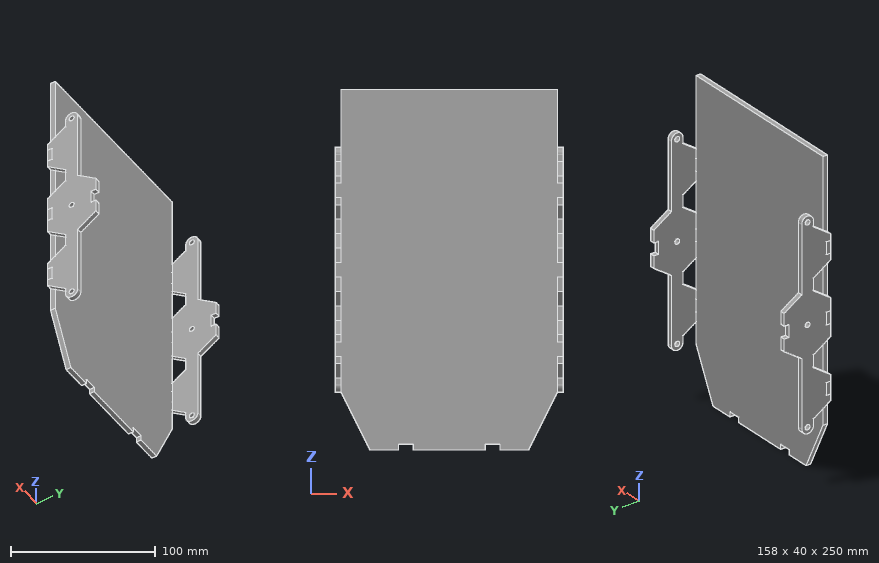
import cadquery as cq

sheet = 4.0

panel_width = 150.0
panel_height = 250.0
corner_cut_width = 20.0
corner_cut_height = 40.0
foot_notch_width = 10.0
foot_notch_offset = 30.0

tab_length = 10.0
tab_pitch = 55.0
tab_heights = [-tab_pitch, 0.0, tab_pitch]

bracket_depth = 40.0
arm_width = 10.0
arm_hole_height = 80.0
pin_hole_diameter = 4.0
foot_half_length = 10.0
hub_half_length = 15.0
shoulder_rise = 10.0
rear_notch_length = 10.0

half_depth = bracket_depth / 2
half_arm = arm_width / 2
half_panel_width = panel_width / 2
half_panel_height = panel_height / 2
panel_front = -half_depth
panel_middle_y = panel_front + sheet / 2
hub_shoulder = hub_half_length + shoulder_rise
foot_bottom = tab_pitch - foot_half_length
foot_top = tab_pitch + foot_half_length


def make_panel():
    """Panel with cut lower corners, two foot notches and three tabs on each side."""
    foot_half_width = half_panel_width - corner_cut_width
    corner_z = -half_panel_height + corner_cut_height
    panel = (
        cq.Workplane("XZ", origin=(0, panel_front, 0))
        .moveTo(-half_panel_width, half_panel_height)
        .lineTo(half_panel_width, half_panel_height)
        .lineTo(half_panel_width, corner_z)
        .lineTo(foot_half_width, -half_panel_height)
        .lineTo(-foot_half_width, -half_panel_height)
        .lineTo(-half_panel_width, corner_z)
        .close()
        .extrude(-sheet)
    )
    for z in tab_heights:
        tab_bar = cq.Workplane("XY").box(panel_width + 2 * sheet, sheet, tab_length)
        panel = panel.union(tab_bar.translate((0, panel_middle_y, z)))
    for x in (-foot_notch_offset, foot_notch_offset):
        notch = cq.Workplane("XY").box(foot_notch_width, sheet, sheet)
        panel = panel.cut(notch.translate((x, panel_middle_y, -half_panel_height + sheet / 2)))
    return panel.solids()


def make_bracket(start_x):
    """Side bracket spanning one sheet thickness in +X from start_x."""
    front_upper = [
        (-half_arm, foot_top + shoulder_rise),
        (-half_depth, foot_top),
        (-half_depth, foot_bottom),
        (-half_arm, foot_bottom - shoulder_rise),
        (-half_arm, hub_shoulder),
        (-half_depth, hub_half_length),
    ]
    front_lower = [(y, -z) for y, z in reversed(front_upper)]
    rear_hub = [
        (half_arm, -hub_shoulder),
        (half_depth, -hub_half_length),
        (half_depth, hub_half_length),
        (half_arm, hub_shoulder),
    ]
    outline = cq.Workplane("YZ", origin=(start_x, 0, 0)).moveTo(-half_arm, arm_hole_height)
    for point in front_upper + front_lower + [(-half_arm, -arm_hole_height)]:
        outline = outline.lineTo(*point)
    outline = outline.threePointArc((0, -arm_hole_height - half_arm), (half_arm, -arm_hole_height))
    for point in rear_hub + [(half_arm, arm_hole_height)]:
        outline = outline.lineTo(*point)
    outline = outline.threePointArc((0, arm_hole_height + half_arm), (-half_arm, arm_hole_height))
    bracket = outline.close().extrude(sheet)

    pin_holes = (
        cq.Workplane("YZ", origin=(start_x, 0, 0))
        .pushPoints([(0, -arm_hole_height), (0, 0), (0, arm_hole_height)])
        .circle(pin_hole_diameter / 2)
        .extrude(sheet)
    )
    tab_slots = (
        cq.Workplane("YZ", origin=(start_x, 0, 0))
        .pushPoints([(panel_middle_y, z) for z in tab_heights])
        .rect(sheet, tab_length)
        .extrude(sheet)
    )
    rear_notch = (
        cq.Workplane("YZ", origin=(start_x, half_depth - sheet / 2, 0))
        .rect(sheet, rear_notch_length)
        .extrude(sheet)
    )
    return bracket.cut(pin_holes).cut(tab_slots).cut(rear_notch).solids()


panel = make_panel()
brackets = [make_bracket(x) for x in (-half_panel_width - sheet, half_panel_width)]

result = cq.Compound.makeCompound([panel.val(), *[bracket.val() for bracket in brackets]])